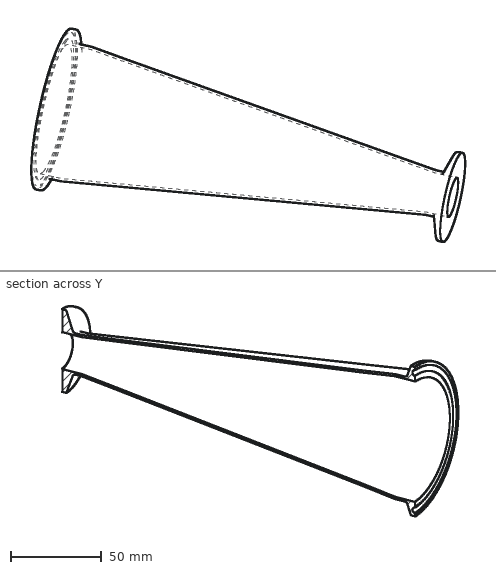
import cadquery as cq
import math

overall_length = 228.6
wall = 1.65
collar_length = 12.7

large_tube_radius = 76.2 / 2
large_flange_radius = 90.91 / 2
small_tube_radius = 25.4 / 2
small_flange_radius = 50.39 / 2

rim_width = 2.85
flange_back_angle = 20.0
neck_fillet = 1.2
rim_fillet = 0.8

groove_centre_radius = 83.4 / 2
groove_width = 3.4
groove_depth = 1.5


def make_reducer():
    """Revolved tube: straight collar, cone, straight collar, with an even wall."""
    cone_end = overall_length - collar_length
    profile = [
        (0, large_tube_radius),
        (collar_length, large_tube_radius),
        (cone_end, small_tube_radius),
        (overall_length, small_tube_radius),
        (overall_length, small_tube_radius - wall),
        (cone_end, small_tube_radius - wall),
        (collar_length, large_tube_radius - wall),
        (0, large_tube_radius - wall),
    ]
    return cq.Workplane("XY").polyline(profile).close().revolve(360, (0, 0, 0), (1, 0, 0))


def make_flange(tube_radius, flange_radius):
    """Clamp flange with its face on x = 0, a sloped back and a filleted neck."""
    slope = math.radians(flange_back_angle)
    back_drop = (flange_radius - tube_radius) * math.tan(slope)
    root_x = rim_width + back_drop
    turn = math.pi / 2 - slope
    tangent_length = neck_fillet * math.tan(turn / 2)
    fillet_end = (root_x + tangent_length, tube_radius)
    fillet_start = (
        root_x - tangent_length * math.sin(slope),
        tube_radius + tangent_length * math.cos(slope),
    )
    fillet_middle = (
        fillet_end[0] - neck_fillet * math.sin(turn / 2),
        tube_radius + neck_fillet * (1 - math.cos(turn / 2)),
    )
    bore_radius = tube_radius - wall
    flange = (
        cq.Workplane("XY")
        .moveTo(0, bore_radius)
        .lineTo(0, flange_radius)
        .lineTo(rim_width, flange_radius)
        .lineTo(*fillet_start)
        .threePointArc(fillet_middle, fillet_end)
        .lineTo(fillet_end[0], bore_radius)
        .close()
        .revolve(360, (0, 0, 0), (1, 0, 0))
    )
    rim_back_edge = cq.selectors.BoxSelector(
        (rim_width - rim_fillet / 2, -2 * flange_radius, -2 * flange_radius),
        (rim_width + rim_fillet / 2, 2 * flange_radius, 2 * flange_radius),
        boundingbox=True,
    )
    return flange.edges(rim_back_edge).edges("%CIRCLE").fillet(rim_fillet)


def make_gasket_groove():
    """Ring with an arc section that cuts the gasket groove into the face at x = 0."""
    return (
        cq.Workplane("XY")
        .moveTo(0, groove_centre_radius - groove_width / 2)
        .threePointArc(
            (groove_depth, groove_centre_radius),
            (0, groove_centre_radius + groove_width / 2),
        )
        .close()
        .revolve(360, (0, 0, 0), (1, 0, 0))
    )


large_flange = make_flange(large_tube_radius, large_flange_radius)
small_flange = (
    make_flange(small_tube_radius, small_flange_radius)
    .mirror("YZ")
    .translate((overall_length, 0, 0))
)

result = make_reducer().union(large_flange).union(small_flange).cut(make_gasket_groove())